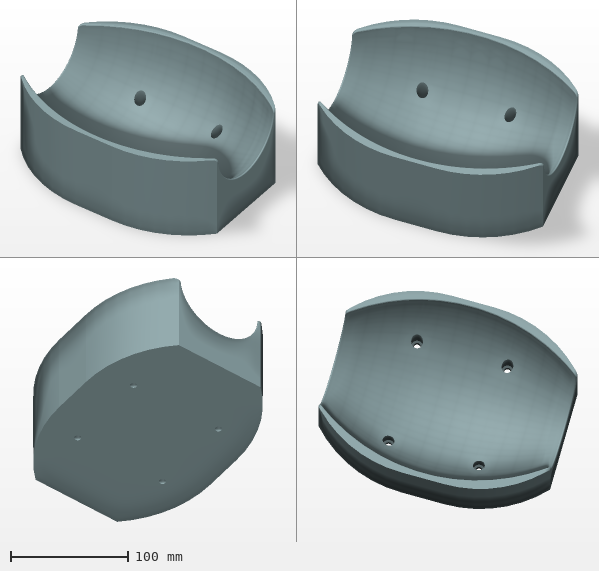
import cadquery as cq
import math

length = 205.0
width = 160.0
height = 80.0
end_width = 86.5
side_flat = 38.1

cavity_mid_radius = 75.2
cavity_end_radius = 40.2

end_round = 3.7
rim_round = 0.8

hole_diameter = 6.0
counterbore_diameter = 10.0
hole_spacing_x = 80.0
hole_spacing_y = 89.8
seat_height = 6.2


def outer_block():
    """Barrel-shaped outline whose side arcs run tangent out of the straight stretches."""
    half_length, half_width = length / 2, width / 2
    half_end, half_flat = end_width / 2, side_flat / 2
    run = half_length - half_flat
    drop = half_width - half_end
    arc_radius = (run**2 + drop**2) / (2 * drop)
    half_angle = math.asin(run / arc_radius) / 2
    mid_x = half_flat + arc_radius * math.sin(half_angle)
    mid_y = half_width - arc_radius * (1 - math.cos(half_angle))
    return (
        cq.Workplane("XY")
        .moveTo(-half_flat, half_width)
        .lineTo(half_flat, half_width)
        .threePointArc((mid_x, mid_y), (half_length, half_end))
        .lineTo(half_length, -half_end)
        .threePointArc((mid_x, -mid_y), (half_flat, -half_width))
        .lineTo(-half_flat, -half_width)
        .threePointArc((-mid_x, -mid_y), (-half_length, -half_end))
        .lineTo(-half_length, half_end)
        .threePointArc((-mid_x, mid_y), (-half_flat, half_width))
        .close()
        .extrude(height)
    )


def cavity():
    """Body of revolution that breaks out through both end faces."""
    half_length = length / 2
    sag = cavity_mid_radius - cavity_end_radius
    arc_radius = (half_length**2 + sag**2) / (2 * sag)
    overrun = 2.0
    tip_x = half_length + overrun
    tip_radius = cavity_mid_radius - arc_radius + math.sqrt(arc_radius**2 - tip_x**2)
    return (
        cq.Workplane("XY", origin=(0, 0, height))
        .moveTo(-tip_x, 0)
        .lineTo(-tip_x, tip_radius)
        .threePointArc((0, cavity_mid_radius), (tip_x, tip_radius))
        .lineTo(tip_x, 0)
        .close()
        .revolve(360, (0, 0, 0), (1, 0, 0))
    )


def screw_holes(diameter, start_height):
    return (
        cq.Workplane("XY", origin=(0, 0, start_height))
        .rect(hole_spacing_x, hole_spacing_y, forConstruction=True)
        .vertices()
        .circle(diameter / 2)
        .extrude(height - start_height)
    )


block = outer_block().faces("<X or >X").edges(">Z").fillet(end_round)
hollow = block.cut(cavity())

bowl_surface = next(face for face in hollow.faces().vals() if face.geomType() == "REVOLUTION")
hollow = hollow.newObject(bowl_surface.Edges()).fillet(rim_round)

through_holes = screw_holes(hole_diameter, 0)
counterbores = screw_holes(counterbore_diameter, seat_height)
result = hollow.cut(through_holes).cut(counterbores)